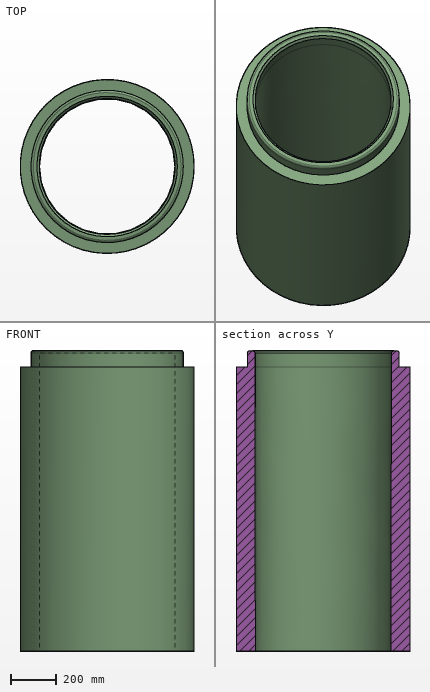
import cadquery as cq

outer_diameter = 766.0
total_height = 1324.0
spigot_diameter = 670.0
spigot_height = 72.0
mouth_bore_diameter = 598.0
base_bore_diameter = 595.0
rim_edge_size = 10.0

outer_radius = outer_diameter / 2
spigot_radius = spigot_diameter / 2
mouth_bore_radius = mouth_bore_diameter / 2
base_bore_radius = base_bore_diameter / 2
shoulder_z = total_height - spigot_height


def make_wall():
    """Pipe wall revolved about Z: spigot on top, bore straight in the spigot and tapered below it."""
    profile = (
        cq.Workplane("XZ")
        .moveTo(base_bore_radius, 0)
        .lineTo(outer_radius, 0)
        .lineTo(outer_radius, shoulder_z)
        .lineTo(spigot_radius, shoulder_z)
        .lineTo(spigot_radius, total_height)
        .lineTo(mouth_bore_radius, total_height)
        .lineTo(mouth_bore_radius, shoulder_z)
        .close()
    )
    return profile.revolve(360, (0, 0, 0), (0, 1, 0))


def finish_rim(pipe):
    """Round the outer edge of the spigot's top face and chamfer its inner edge."""
    rounded = pipe.faces(">Z").edges(cq.selectors.RadiusNthSelector(-1)).fillet(rim_edge_size)
    return rounded.faces(">Z").edges(cq.selectors.RadiusNthSelector(0)).chamfer(rim_edge_size)


result = finish_rim(make_wall())